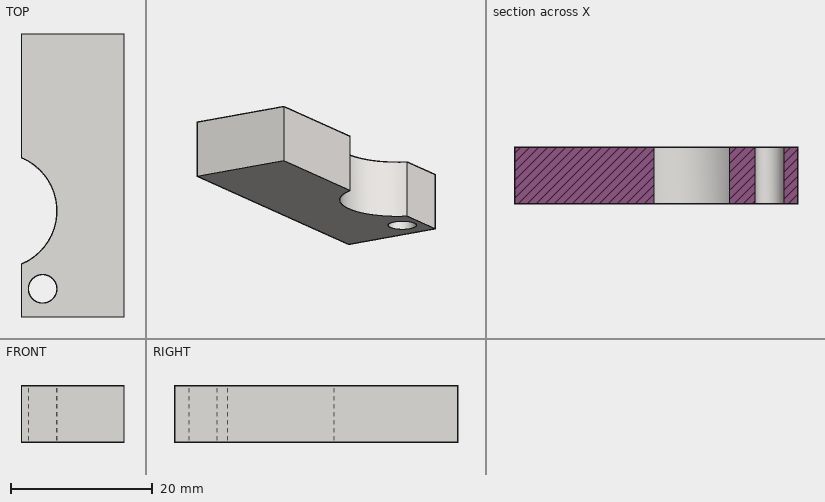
import cadquery as cq

width = 14.5
length = 40.0
height = 8.0

recess_opening = 15.0
recess_depth = 5.0
recess_y = 15.0
recess_radius = ((recess_opening / 2) ** 2 + recess_depth**2) / (2 * recess_depth)

hole_diameter = 4.0
hole_x = 3.0
hole_y = 4.0


def vertical_cylinder(x, y, radius):
    """Cylinder along Z, as tall as the block."""
    return cq.Workplane("XY").center(x, y).circle(radius).extrude(height)


block = cq.Workplane("XY").box(width, length, height, centered=False)
recess = vertical_cylinder(recess_depth - recess_radius, recess_y, recess_radius)
hole = vertical_cylinder(hole_x, hole_y, hole_diameter / 2)

result = block.cut(recess).cut(hole)